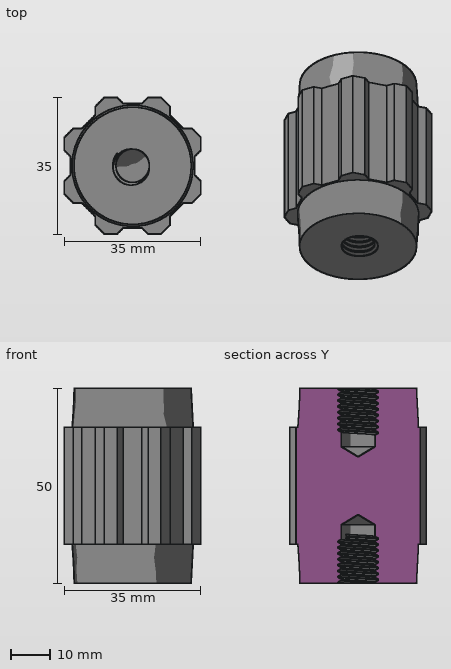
import cadquery as cq
import math

height = 50.0
end_diameter = 30.0
grip_width = 35.0
grip_height = 30.0
draft_angle = 3.0

flat_count = 8
groove_depth = 1.55
groove_floor_width = 4.8
groove_mouth_width = groove_floor_width + 2 * groove_depth

minor_diameter = 8.55
major_diameter = 10.2
thread_pitch = 1.5
thread_length = 12.0
hole_depth = 15.0
drill_point_angle = 118.0
thread_angle = 60.0
root_width = thread_pitch / 8
runout_angle = 225.0
cutter_overlap = 0.1

boss_height = (height - grip_height) / 2


def tapered_core():
    """Round core: a straight middle hidden in the grip and a tapered boss at each end."""
    end_radius = end_diameter / 2
    shoulder_radius = end_radius + boss_height * math.tan(math.radians(draft_angle))
    half_profile = [
        (0, 0),
        (end_radius, 0),
        (shoulder_radius, boss_height),
        (shoulder_radius, height - boss_height),
        (end_radius, height),
        (0, height),
    ]
    return cq.Workplane("XZ").polyline(half_profile).close().revolve(360, (0, 0), (0, 1))


def grip():
    """Octagonal prism with a trapezoidal groove along every flat."""
    apothem = grip_width / 2
    corner_diameter = grip_width / math.cos(math.pi / flat_count)
    half_step = 180 / flat_count
    body = (
        cq.Workplane("XY")
        .workplane(offset=boss_height)
        .transformed(rotate=(0, 0, half_step))
        .polygon(flat_count, corner_diameter)
        .extrude(grip_height)
    )
    groove = (
        cq.Workplane("XY")
        .workplane(offset=boss_height)
        .polyline([
            (apothem - groove_depth, -groove_floor_width / 2),
            (apothem, -groove_mouth_width / 2),
            (apothem, groove_mouth_width / 2),
            (apothem - groove_depth, groove_floor_width / 2),
        ])
        .close()
        .extrude(grip_height)
    )
    for index in range(flat_count):
        body = body.cut(groove.rotate((0, 0, 0), (0, 0, 1), index * 360 / flat_count))
    return body


def drilled_hole():
    """Blind hole with a conical bottom, cut down from the top face."""
    radius = minor_diameter / 2
    point_depth = radius / math.tan(math.radians(drill_point_angle / 2))
    floor = height - hole_depth
    half_profile = [
        (0, height),
        (radius, height),
        (radius, floor),
        (0, floor - point_depth),
    ]
    return cq.Workplane("YZ").polyline(half_profile).close().revolve(360, (0, 0), (0, 1))


def thread_groove():
    """Right-hand 60 degree thread groove that runs out through the top face."""
    root_radius = major_diameter / 2
    wall_radius = minor_diameter / 2
    inner_radius = wall_radius - cutter_overlap
    half_root = root_width / 2
    flank_run = (root_radius - inner_radius) * math.tan(math.radians(thread_angle / 2))
    half_mouth = half_root + flank_run
    start = height - thread_length
    run = thread_length + thread_pitch
    helix = cq.Wire.makeHelix(thread_pitch, run, inner_radius, cq.Vector(0, 0, start))
    groove = (
        cq.Workplane("XZ")
        .polyline([
            (inner_radius, start - half_mouth),
            (root_radius, start - half_root),
            (root_radius, start + half_root),
            (inner_radius, start + half_mouth),
        ])
        .close()
        .sweep(cq.Workplane(helix), isFrenet=True)
    )
    return groove.rotate((0, 0, 0), (0, 0, 1), runout_angle)


axis_start = (0, 0, height / 2)
axis_end = (1, 0, height / 2)
hole = drilled_hole()
thread = thread_groove()
body = tapered_core().union(grip())
for turn in (0, 180):
    body = body.cut(hole.rotate(axis_start, axis_end, turn))
    body = body.cut(thread.rotate(axis_start, axis_end, turn))

result = body